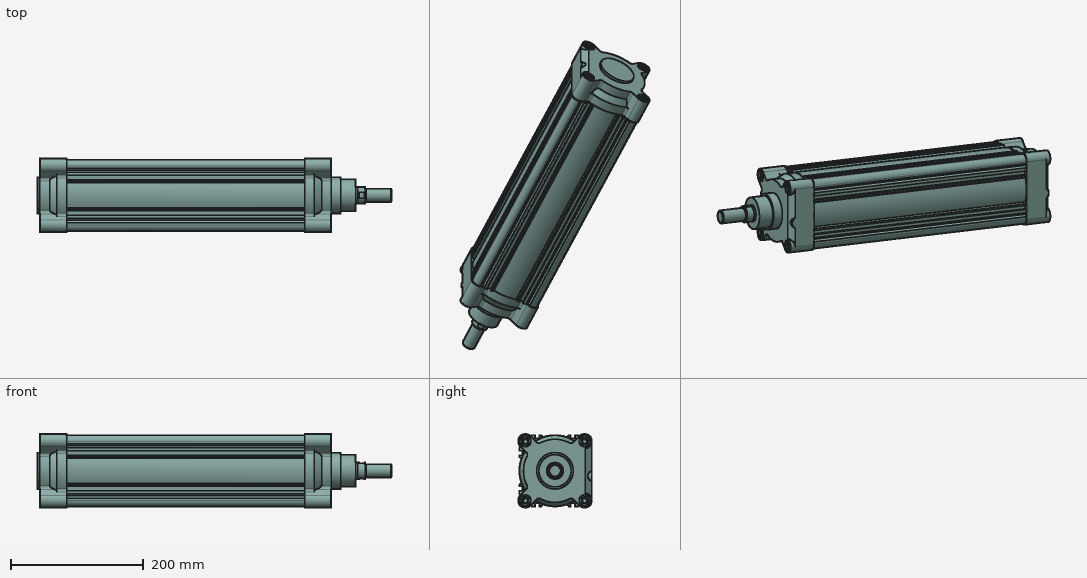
import cadquery as cq
import math


TOTAL_LENGTH = 533.0
BOSS_LENGTH = 4.0
CAP_LENGTH = 40.0
CAP_FACE_X = 442.0
COLLAR_LENGTH = 14.5
NECK_LENGTH = 22.5
LIP_LENGTH = 3.0
SHOULDER_X = 493.0

BARREL_START_X = BOSS_LENGTH + CAP_LENGTH
BARREL_END_X = CAP_FACE_X - CAP_LENGTH
COLLAR_END_X = CAP_FACE_X + COLLAR_LENGTH
NECK_END_X = COLLAR_END_X + NECK_LENGTH
ROD_START_X = NECK_END_X + LIP_LENGTH

CAP_WIDTH = 111.0
SCREW_PITCH = 89.0
SCREW_OFFSET = SCREW_PITCH / 2
LUG_RADIUS = CAP_WIDTH / 2 - SCREW_OFFSET
WAIST_RADIUS = 47.5
SHOULDER_RADIUS = 53.5
WAIST_LENGTH = 14.5
CONE_LENGTH = 10.5
SHOULDER_START_X = WAIST_LENGTH + CONE_LENGTH
WEB_FILLET = 5.0
WEB_LENGTH = 2 * math.sqrt(2) * SCREW_OFFSET + 2 * LUG_RADIUS
BOSS_RADIUS = 55.0 / 2
NECK_RADIUS = 48.5 / 2

BEVEL_INSET = 9.5
BEVEL_LENGTH = 7.5
PAD_RADIUS = 9.0
PAD_Z = -8.0
PAD_SETBACK = 2.5
SIDE_ROOT_Y = 32.0

RECESS_RADIUS = 16.5 / 2
RECESS_DEPTH = 3.0
SOCKET_MOUTH_RADIUS = 5.5
SOCKET_RADIUS = 3.5
SOCKET_TAPER = 1.5
SOCKET_DEPTH = 5.5
DRILL_POINT_DEPTH = 2.5

FIT_TOLERANCE = 0.05

BARREL_HALF = 54.0
BULGE_RADIUS = 54.0
CORNER_RADIUS = 9.5
SLOT_FLOOR = 49.0
SLOT_INNER = 23.5
SLOT_OUTER = 30.0
RIB_TIP_INNER = 21.0
RIB_ROOT_INNER = 17.5
GROOVE_CENTER = 38.0
GROOVE_HALF = 3.0

ROD_RADIUS = 25.0 / 2
THREAD_RADIUS = 10.0
FLAT_HEIGHT = 11.5
FLAT_START_X = 484.0
FLAT_END_X = 492.0
THREAD_RELIEF_RADIUS = 9.5
THREAD_RELIEF_LENGTH = 1.5
TIP_CHAMFER = 1.5

CORNERS = [(y * SCREW_OFFSET, z * SCREW_OFFSET) for y in (-1, 1) for z in (-1, 1)]


def section_at(x):
    """Sketch plane across the cylinder axis, with local axes Y and Z."""
    return cq.Workplane("YZ", origin=(x, 0, 0))


def disc(x, radius, length):
    return section_at(x).circle(radius).extrude(length)


class InnerCorners(cq.Selector):
    """Edges along X that lie at a given distance from the cylinder axis."""

    def __init__(self, radius):
        self.radius = radius

    def filter(self, edges):
        chosen = []
        for edge in edges:
            middle = edge.Center()
            on_radius = abs(math.hypot(middle.y, middle.z) - self.radius) < FIT_TOLERANCE
            if edge.geomType() == "LINE" and on_radius:
                chosen.append(edge)
        return chosen


def webbed_disc(x, radius, length):
    """Disc joined to the corner lugs by four diagonal webs, with filleted inner corners."""
    body = disc(x, radius, length)
    for angle in (45, -45):
        web = section_at(x).slot2D(WEB_LENGTH, 2 * LUG_RADIUS, angle).extrude(length)
        body = body.union(web)
    return body.edges(InnerCorners(radius)).fillet(WEB_FILLET)


def cap_body():
    """Webbed waist that widens through a cone to a webbed shoulder; outer face at x = 0."""
    waist = webbed_disc(0, WAIST_RADIUS, CAP_LENGTH)
    shoulder = webbed_disc(SHOULDER_START_X, SHOULDER_RADIUS, CAP_LENGTH - SHOULDER_START_X)
    cone = (
        cq.Workplane("XY")
        .moveTo(WAIST_LENGTH, 0)
        .lineTo(WAIST_LENGTH, WAIST_RADIUS)
        .lineTo(SHOULDER_START_X, SHOULDER_RADIUS)
        .lineTo(SHOULDER_START_X, 0)
        .close()
        .revolve(360, (0, 0, 0), (1, 0, 0))
    )
    return waist.union(cone).union(shoulder)


def flatten_side(body):
    """Fill the +Y side flush with the lugs, bevel it towards the outer face, and add the pad."""
    side_y = CAP_WIDTH / 2
    fill = (
        cq.Workplane("XY", origin=(0, SIDE_ROOT_Y, 0))
        .box(CAP_LENGTH, side_y - SIDE_ROOT_Y, 2 * SCREW_OFFSET, centered=(False, False, True))
    )
    bevel = (
        cq.Workplane("XY")
        .moveTo(0, side_y)
        .lineTo(0, side_y - BEVEL_INSET)
        .lineTo(BEVEL_LENGTH, side_y)
        .close()
        .extrude(SCREW_OFFSET, both=True)
    )
    body = body.union(fill).cut(bevel)
    for side in (-1, 1):
        lug = disc(0, LUG_RADIUS, CAP_LENGTH).translate((0, SCREW_OFFSET, side * SCREW_OFFSET))
        body = body.union(lug)
    pad = (
        cq.Workplane("XZ", origin=(PAD_SETBACK + PAD_RADIUS, side_y, PAD_Z))
        .circle(PAD_RADIUS)
        .extrude(side_y - SIDE_ROOT_Y)
    )
    return body.union(pad)


def screw_recesses():
    """Stepped recesses with a conical bottom, entering the four lugs from x = 0."""
    socket_end = RECESS_DEPTH + SOCKET_DEPTH
    recess = (
        cq.Workplane("XY")
        .moveTo(0, 0)
        .lineTo(0, RECESS_RADIUS)
        .lineTo(RECESS_DEPTH, RECESS_RADIUS)
        .lineTo(RECESS_DEPTH, SOCKET_MOUTH_RADIUS)
        .lineTo(RECESS_DEPTH + SOCKET_TAPER, SOCKET_RADIUS)
        .lineTo(socket_end, SOCKET_RADIUS)
        .lineTo(socket_end + DRILL_POINT_DEPTH, 0)
        .close()
        .revolve(360, (0, 0, 0), (1, 0, 0))
    )
    recesses = cq.Workplane("XY")
    for y, z in CORNERS:
        recesses = recesses.add(recess.translate((0, y, z)))
    return recesses.combine()


def end_cap():
    """Cap common to both ends, with its outer face at x = 0 and the barrel side at +X."""
    return flatten_side(cap_body()).cut(screw_recesses())


def rear_cap():
    cap = end_cap().translate((BOSS_LENGTH, 0, 0))
    return cap.union(disc(0, BOSS_RADIUS, BOSS_LENGTH))


def front_cap():
    cap = end_cap().mirror("YZ").translate((CAP_FACE_X, 0, 0))
    cap = cap.union(disc(CAP_FACE_X, BOSS_RADIUS, COLLAR_LENGTH))
    cap = cap.union(disc(COLLAR_END_X, NECK_RADIUS, NECK_LENGTH))
    return cap.union(disc(NECK_END_X, ROD_RADIUS, LIP_LENGTH))


def barrel():
    """Extruded profile: square with rounded corners, cut back to a round bulge on each side."""
    length = BARREL_END_X - BARREL_START_X
    profile = (
        section_at(BARREL_START_X)
        .rect(2 * BARREL_HALF, 2 * BARREL_HALF)
        .extrude(length)
        .edges("|X")
        .fillet(CORNER_RADIUS)
    )
    bulge = disc(BARREL_START_X, BULGE_RADIUS, length)
    side_height = BARREL_HALF - SLOT_FLOOR
    side_middle = (BARREL_HALF + SLOT_FLOOR) / 2
    plane = section_at(BARREL_START_X)
    window = (
        plane.moveTo(-RIB_TIP_INNER, BARREL_HALF)
        .lineTo(-RIB_ROOT_INNER, SLOT_FLOOR)
        .lineTo(RIB_ROOT_INNER, SLOT_FLOOR)
        .lineTo(RIB_TIP_INNER, BARREL_HALF)
        .close()
        .extrude(length)
        .cut(bulge)
    )
    slots = (
        plane.pushPoints([(side * (SLOT_INNER + SLOT_OUTER) / 2, side_middle) for side in (-1, 1)])
        .rect(SLOT_OUTER - SLOT_INNER, side_height)
        .extrude(length)
    )
    grooves = (
        plane.pushPoints([(side * GROOVE_CENTER, BARREL_HALF) for side in (-1, 1)])
        .polygon(4, 2 * GROOVE_HALF)
        .extrude(length)
    )
    for quarter in range(4):
        for cutter in (window, slots, grooves):
            profile = profile.cut(cutter.rotate((0, 0, 0), (1, 0, 0), 90 * quarter))
    return profile


def piston_rod():
    """Plain rod with two wrench flats, then a relief and the threaded tip."""
    shank = disc(ROD_START_X, ROD_RADIUS, SHOULDER_X - ROD_START_X)
    flat_length = FLAT_END_X - FLAT_START_X
    for side in (-1, 1):
        flat_cutter = cq.Workplane("XY").box(
            flat_length, 2 * ROD_RADIUS, ROD_RADIUS, centered=(False, True, True)
        )
        cutter_z = side * (FLAT_HEIGHT + ROD_RADIUS / 2)
        shank = shank.cut(flat_cutter.translate((FLAT_START_X, 0, cutter_z)))
    relief = disc(SHOULDER_X, THREAD_RELIEF_RADIUS, THREAD_RELIEF_LENGTH)
    thread_start_x = SHOULDER_X + THREAD_RELIEF_LENGTH
    thread = disc(thread_start_x, THREAD_RADIUS, TOTAL_LENGTH - thread_start_x)
    thread = thread.faces(">X").chamfer(TIP_CHAMFER)
    return shank.union(relief).union(thread)


result = cq.Compound.makeCompound(
    [rear_cap().val(), barrel().val(), front_cap().val(), piston_rod().val()]
)